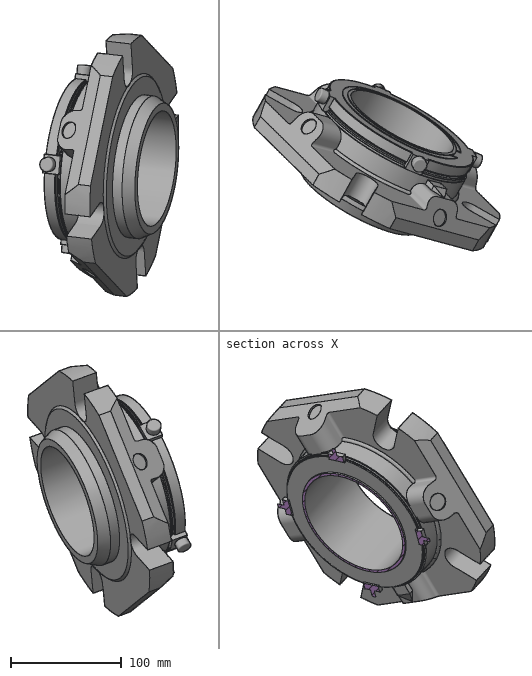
import cadquery as cq
import math

sleeve_front = 0.0
ring_front = 0.7
collar_front = 1.5
collar_chamfer = 0.5
collar_shoulder = 11.8
collar_back = 12.7
hub_lip_front = 14.2
hub_lip_shoulder = 15.5
clip_back = 16.8
hub_front = 17.5
plate_front = 38.0
plate_thickness = 24.0
plate_back = plate_front + plate_thickness
register_back = plate_back + 2.2
nose_chamfer_start = 73.2
nose_back = 83.5

bore_dia = 105.0
sleeve_dia = 111.1
ring_dia = 121.0
collar_dia = 147.5
rim_dia = 146.0
hub_dia = 150.3
register_dia = 168.0
register_end_dia = 163.5
nose_dia = 129.9
nose_end_dia = 119.0

plate_dia = 240.0
first_flat_angle = 54.7
flat_angles = [first_flat_angle + 90 * quarter for quarter in range(4)]
flat_distance = 108.2
bevel_angle = 22.5
bevel_start = plate_front + 12.2
slot_offset = 45.0
slot_width = 22.8
slot_end_radius = 94.3

boss_width = 37.0
boss_round = 12.0
foot_radius = 2.6
short_boss_angle = flat_angles[2]
short_boss_front = 24.2
short_boss_round = 8.6
port_dia = 15.5
port_depth = 1.7
front_port_x = 27.8
rear_port_x = 40.8
rear_port_angles = (flat_angles[0], flat_angles[2])

first_clip_angle = 75
clip_width = 17.0
clip_inner = 70.5
clip_outer = 77.5
screw_dia = 13.0
screw_outer = 85.2
screw_x = 6.7
screw_round = 1.2

gap_start = 180
gap_end_inner = 205
gap_end_outer = 200

plaque_width = 16.3
plaque_front = 19.5
plaque_shoulder = 85.5
plaque_tip = 97.0

bevel_slope = math.tan(math.radians(bevel_angle))


def disc(diameter, x_start, x_end):
    """Solid cylinder on the X axis."""
    return cq.Workplane("YZ", origin=(x_start, 0, 0)).circle(diameter / 2).extrude(x_end - x_start)


def cone(start_dia, end_dia, x_start, x_end):
    """Solid conical frustum on the X axis."""
    profile = [(x_start, 0), (x_end, 0), (x_end, end_dia / 2), (x_start, start_dia / 2)]
    return cq.Workplane("XY").polyline(profile).close().revolve(360, (0, 0, 0), (1, 0, 0))


def turn(shape, angle):
    """Rotate a shape about the X axis, from +Y towards +Z."""
    return shape.rotate((0, 0, 0), (1, 0, 0), angle)


def polar(radius, angle):
    """Y and Z of a point given in polar form."""
    return radius * math.cos(math.radians(angle)), radius * math.sin(math.radians(angle))


def hub():
    """Hub cylinder with a concave foot where it meets the plate."""
    radius = hub_dia / 2
    profile = (
        cq.Workplane("XY")
        .moveTo(hub_front, 0)
        .lineTo(hub_front, radius)
        .lineTo(plate_front - foot_radius, radius)
        .radiusArc((plate_front, radius + foot_radius), foot_radius)
        .lineTo(plate_back, radius + foot_radius)
        .lineTo(plate_back, 0)
        .close()
    )
    return profile.revolve(360, (0, 0, 0), (1, 0, 0))


def boss_bar(angle):
    """Bar running radially outwards, with round shoulders and concave feet."""
    is_short = angle == short_boss_angle
    front = short_boss_front if is_short else hub_front
    shoulder = short_boss_round if is_short else boss_round
    half = boss_width / 2
    profile = (
        cq.Workplane("XZ")
        .moveTo(plate_back, half + foot_radius)
        .lineTo(plate_front, half + foot_radius)
        .radiusArc((plate_front - foot_radius, half), foot_radius)
        .lineTo(front + shoulder, half)
        .radiusArc((front, half - shoulder), -shoulder)
        .lineTo(front, shoulder - half)
        .radiusArc((front + shoulder, -half), -shoulder)
        .lineTo(plate_front - foot_radius, -half)
        .radiusArc((plate_front, -half - foot_radius), foot_radius)
        .lineTo(plate_back, -half - foot_radius)
        .close()
    )
    return turn(profile.extrude(-plate_dia / 2), angle)


def bevelled_flat(angle):
    """Stock outside one flat of the plate and its bevelled front half."""
    front_x = sleeve_front
    front_y = flat_distance - (bevel_start - front_x) * bevel_slope
    profile = [
        (front_x, front_y),
        (bevel_start, flat_distance),
        (plate_back, flat_distance),
        (plate_back, plate_dia),
        (front_x, plate_dia),
    ]
    stock = cq.Workplane("XY").polyline(profile).close().extrude(plate_dia / 2, both=True)
    return turn(stock, angle)


def mounting_slot(angle):
    """Radial slot with a round inner end, open at the rim."""
    length = plate_dia - slot_end_radius
    blank = cq.Workplane("YZ", origin=(plate_front, slot_end_radius, 0))
    straight = blank.center(length / 2, 0).rect(length, slot_width).extrude(plate_thickness)
    end = blank.circle(slot_width / 2).extrude(plate_thickness)
    return turn(straight.union(end), angle)


def port_recess(angle):
    """Shallow round recess sunk square to the bevelled boss face."""
    x = rear_port_x if angle in rear_port_angles else front_port_x
    radius = flat_distance - (bevel_start - x) * bevel_slope
    tilt = math.radians(bevel_angle)
    face = cq.Plane(origin=(x, radius, 0), xDir=(0, 0, 1), normal=(-math.sin(tilt), math.cos(tilt), 0))
    recess = cq.Workplane(face).circle(port_dia / 2).extrude(-port_depth)
    return turn(recess, angle)


def setting_clip(angle):
    """Block joining the collar to the hub, with a cap screw head on top."""
    block = (
        cq.Workplane("XY")
        .box(clip_back - collar_front, clip_outer - clip_inner, clip_width, centered=(False, False, True))
        .translate((collar_front, clip_inner, 0))
    )
    head = (
        cq.Workplane("XZ", origin=(screw_x, clip_outer, 0))
        .circle(screw_dia / 2)
        .extrude(-(screw_outer - clip_outer))
        .faces(">Y")
        .edges()
        .fillet(screw_round)
    )
    return turn(block.union(head), angle)


def label_plaque():
    """Pentagonal plaque whose pointed end slopes down to the boss top."""
    inner = hub_dia / 2 - foot_radius
    side = [
        (short_boss_front, inner),
        (plaque_front, inner),
        (plaque_front, plaque_shoulder),
        (short_boss_front, plaque_tip),
    ]
    wedge = cq.Workplane("XY").polyline(side).close().extrude(plaque_width / 2, both=True)
    half = plaque_width / 2
    outline = [(inner, -half), (plaque_shoulder, -half), (plaque_tip, 0), (plaque_shoulder, half), (inner, half)]
    pentagon = cq.Workplane("YZ").polyline(outline).close().extrude(plate_front)
    return turn(wedge.intersect(pentagon), short_boss_angle)


def snap_ring():
    """Thin ring around the sleeve with one open gap."""
    gap_outline = [
        polar(sleeve_dia / 2, gap_start),
        polar(ring_dia, gap_start),
        polar(ring_dia, gap_end_outer),
        polar(ring_dia / 2, gap_end_outer),
        polar(sleeve_dia / 2, gap_end_inner),
    ]
    gap = cq.Workplane("YZ").polyline(gap_outline).close().extrude(collar_front)
    return disc(ring_dia, ring_front, collar_front).cut(gap)


gland = disc(plate_dia, plate_front, plate_back).union(hub())
for flat_angle in flat_angles:
    gland = gland.union(boss_bar(flat_angle))

for flat_angle in flat_angles:
    gland = gland.cut(bevelled_flat(flat_angle))
    gland = gland.cut(mounting_slot(flat_angle + slot_offset))
for flat_angle in flat_angles:
    gland = gland.cut(port_recess(flat_angle))

body = gland.union(disc(rim_dia, hub_lip_front, hub_lip_shoulder))
body = body.union(disc(collar_dia, hub_lip_shoulder, hub_front))
body = body.union(cone(register_dia, register_end_dia, plate_back, register_back))
body = body.union(disc(nose_dia, register_back, nose_chamfer_start))
body = body.union(cone(nose_dia, nose_end_dia, nose_chamfer_start, nose_back))
body = body.union(disc(sleeve_dia, sleeve_front, hub_front))
body = body.union(cone(rim_dia, collar_dia, collar_front, collar_front + collar_chamfer))
body = body.union(disc(collar_dia, collar_front + collar_chamfer, collar_shoulder))
body = body.union(disc(rim_dia, collar_shoulder, collar_back))
body = body.union(snap_ring())
body = body.union(label_plaque())

for quarter in range(4):
    body = body.union(setting_clip(first_clip_angle + 90 * quarter))

result = body.cut(disc(bore_dia, sleeve_front, nose_back))